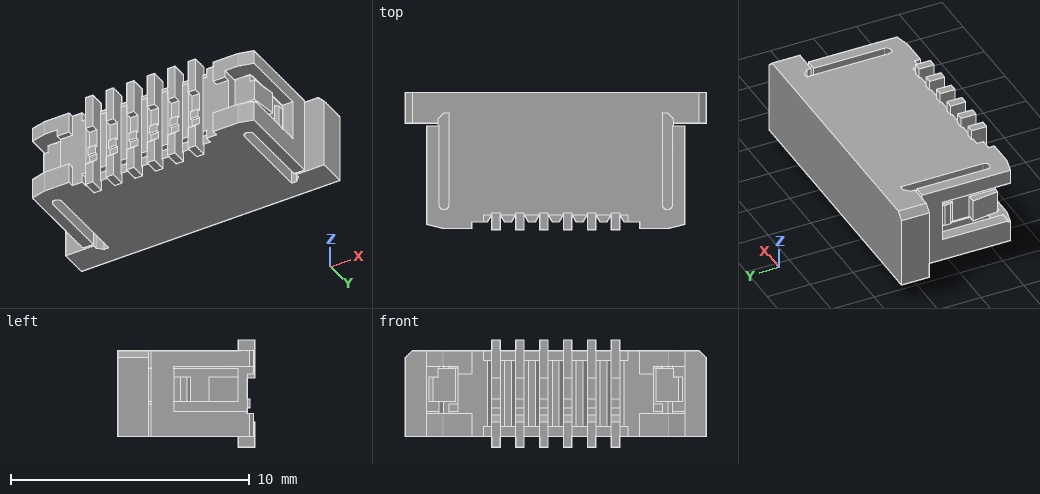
import cadquery as cq

flange_length = 12.6
total_depth = 5.75
total_height = 4.5
body_height = 3.6
body_top = body_height / 2
body_z_range = (-body_top, body_top)
back_y = total_depth / 2

flange_depth = 1.3
flange_chamfer = 0.3
relief_gap = 0.1
arm_start = flange_depth + relief_gap
mid_face_depth = 5.43
lip_depth = 5.7
lip_corner_depth = 5.53

arm_half = 5.4
bevel_half = 4.71
lip_inner_half = 3.51
slot_outer_half = 4.89
slot_inner_half = 4.46
slot_head_half = 4.93
recess_half = 3.03
pocket_inner_half = 4.09

slot_start = 0.87
slot_end = 4.91
slot_chamfer = 0.24

window_start = 2.36
window_top = 1.14
window_bottom = -0.76
lip_opening_bottom = -0.83
upper_lip_inner_bottom = 0.81
pocket_top = 1.06
pocket_bottom = -0.44

latch_inner_half = 4.2
latch_top = 1.04
latch_bottom = -0.335
latch_end = 5.05
head_front_half = 5.14
head_top = 0.69
head_start = 3.83
head_rear_half = 5.3
rail_bump_half = 5.06
bump_flat_start = 2.63
bump_flat_end = 2.9
bump_end = 3.05

contact_count = 6
contact_pitch = 1.0
contact_width = 0.36
tail_start = 5.05
tail_upper_bottom = 0.65
tail_lower_ramp_start = -0.9
tail_lower_ramp_end = -1.2
contact_bump_depth = 5.55
contact_bump_top = -0.22
contact_bump_bottom = -0.6
recess_depth = 5.125
recess_height = 0.42
groove_mouth = 0.71


def y_at(depth):
    """Y coordinate of a point this far forward of the back face."""
    return back_y - depth


def block(x_range, depth_range, z_range):
    """Box spanning the given X, depth and Z ranges."""
    length = x_range[1] - x_range[0]
    depth = depth_range[1] - depth_range[0]
    height = z_range[1] - z_range[0]
    corner = (x_range[0], y_at(depth_range[1]), z_range[0])
    return cq.Workplane("XY").box(length, depth, height, centered=False).translate(corner)


def plan_prism(outline, z_range):
    """Extrude an outline of (x, depth) points between two heights."""
    points = [(x, y_at(depth)) for x, depth in outline]
    base = cq.Workplane("XY").workplane(offset=z_range[0])
    return base.polyline(points).close().extrude(z_range[1] - z_range[0])


def both_sides(shape):
    """The +X shape together with its mirror image."""
    return shape.union(shape.mirror("YZ"))


def make_flange():
    flange = block((-flange_length / 2, flange_length / 2), (0, flange_depth), body_z_range)
    top_ends = flange.edges("|Y and >Z")
    return top_ends.chamfer(flange_chamfer)


def make_housing():
    core = block((-slot_outer_half, slot_outer_half), (0, arm_start), body_z_range)
    main = block((-arm_half, arm_half), (arm_start, mid_face_depth), body_z_range)
    lip = plan_prism(
        [
            (lip_inner_half, mid_face_depth),
            (arm_half, mid_face_depth),
            (arm_half, lip_corner_depth),
            (bevel_half, lip_depth),
            (lip_inner_half, lip_depth),
        ],
        body_z_range,
    )
    return make_flange().union(core).union(main).union(both_sides(lip))


def slot_cut():
    """Through slot with a round front end and a wider, chamfered back end."""
    radius = (slot_outer_half - slot_inner_half) / 2
    middle = (slot_outer_half + slot_inner_half) / 2
    return (
        cq.Workplane("XY")
        .workplane(offset=-body_top)
        .moveTo(slot_inner_half, y_at(slot_start))
        .lineTo(slot_head_half - slot_chamfer, y_at(slot_start))
        .lineTo(slot_head_half, y_at(slot_start + slot_chamfer))
        .lineTo(slot_head_half, y_at(arm_start))
        .lineTo(slot_outer_half, y_at(arm_start))
        .lineTo(slot_outer_half, y_at(slot_end - radius))
        .threePointArc((middle, y_at(slot_end)), (slot_inner_half, y_at(slot_end - radius)))
        .close()
        .extrude(body_height)
    )


def window_cut():
    """Side window, the pocket behind it and the opening between the lips."""
    window = block(
        (pocket_inner_half, arm_half), (window_start, mid_face_depth), (window_bottom, window_top)
    )
    rear_pocket = block(
        (pocket_inner_half, slot_inner_half), (slot_start, window_start), (pocket_bottom, pocket_top)
    )
    floor_step = block(
        (slot_inner_half, slot_outer_half), (window_start, mid_face_depth), (lip_opening_bottom, window_bottom)
    )
    outer_opening = block(
        (pocket_inner_half, arm_half), (mid_face_depth, lip_depth), (lip_opening_bottom, window_top)
    )
    inner_opening = block(
        (lip_inner_half, pocket_inner_half),
        (mid_face_depth, lip_depth),
        (lip_opening_bottom, upper_lip_inner_bottom),
    )
    cut = window.union(rear_pocket).union(floor_step)
    return cut.union(outer_opening).union(inner_opening)


def make_latch():
    """Rail along the slot with a tapered front head and a small outward bump."""
    rail = block((latch_inner_half, slot_head_half), (slot_start, latch_end), (latch_bottom, latch_top))
    head = plan_prism(
        [
            (latch_inner_half, head_start),
            (head_rear_half, head_start),
            (head_front_half, latch_end),
            (latch_inner_half, latch_end),
        ],
        (latch_bottom, head_top),
    )
    rail_bump = plan_prism(
        [
            (latch_inner_half, window_start),
            (slot_head_half, window_start),
            (rail_bump_half, bump_flat_start),
            (rail_bump_half, bump_flat_end),
            (slot_head_half, bump_end),
            (latch_inner_half, bump_end),
        ],
        (latch_bottom, head_top),
    )
    return rail.union(head).union(rail_bump)


def front_recess_cut():
    """Shallow recesses along the top and bottom edges of the middle front face."""
    upper = block(
        (-recess_half, recess_half), (recess_depth, mid_face_depth), (body_top - recess_height, body_top)
    )
    return upper.union(upper.mirror("XY"))


def groove_cut(center_x):
    """Tapered groove that flares from the contact width to the front face."""
    outline = [
        (center_x - contact_width / 2, recess_depth),
        (center_x + contact_width / 2, recess_depth),
        (center_x + groove_mouth / 2, mid_face_depth),
        (center_x - groove_mouth / 2, mid_face_depth),
    ]
    return plan_prism(outline, body_z_range)


def make_contact(center_x):
    """Flat contact with solder tails above and below and a small bump between."""
    profile = [
        (tail_start, -total_height / 2),
        (total_depth, -total_height / 2),
        (total_depth, tail_lower_ramp_end),
        (mid_face_depth, tail_lower_ramp_start),
        (mid_face_depth, contact_bump_bottom),
        (contact_bump_depth, contact_bump_bottom),
        (contact_bump_depth, contact_bump_top),
        (mid_face_depth, contact_bump_top),
        (mid_face_depth, tail_upper_bottom),
        (total_depth, tail_upper_bottom),
        (total_depth, total_height / 2),
        (tail_start, total_height / 2),
    ]
    points = [(y_at(depth), z) for depth, z in profile]
    start = cq.Workplane("YZ").workplane(offset=center_x - contact_width / 2)
    return start.polyline(points).close().extrude(contact_width)


housing = make_housing()
housing = housing.cut(both_sides(slot_cut()))
housing = housing.cut(both_sides(window_cut()))
housing = housing.cut(front_recess_cut())
result = housing.union(both_sides(make_latch()))

first_contact_x = -(contact_count - 1) * contact_pitch / 2
for index in range(contact_count):
    contact_x = first_contact_x + index * contact_pitch
    result = result.cut(groove_cut(contact_x)).union(make_contact(contact_x))